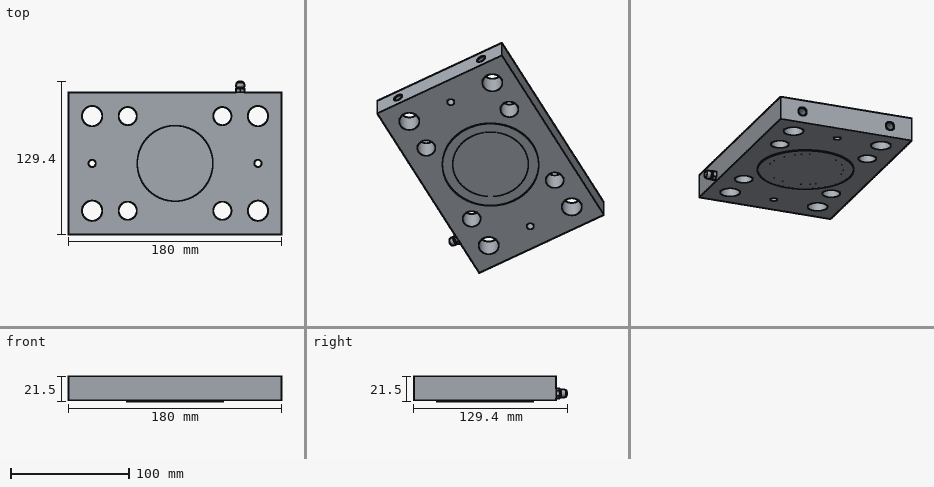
import cadquery as cq
import math

plate_length = 180.0
plate_width = 120.0
plate_thickness = 20.5

hole_row_y = 40.0
outer_hole_x = 70.0
outer_hole_diameter = 17.0
inner_hole_x = hole_row_y
inner_hole_diameter = 15.1
dowel_hole_diameter = 6.0

side_hole_diameter = 6.8
side_hole_chamfer = 0.5
side_hole_z = 10.0

cavity_diameter = 63.9
membrane_thickness = 0.5

overall_height = 21.5
cover_diameter = 81.4
cover_thickness = overall_height - plate_thickness

gland_x = 55.0
gland_z = 6.0
gland_length = 9.4
nut_across_flats = 7.4
nut_length = 3.0
nut_chamfer_angle = math.radians(30)
collar_diameter = 7.0
collar_end = 4.5
barrel_diameter = 7.2
shoulder_diameter = 5.8
shoulder_end = 8.3


def make_plate():
    """Rectangular plate with all its holes and the cavity."""
    plate = cq.Workplane("XY").box(plate_length, plate_width, plate_thickness, centered=(True, True, False))
    plate = cut_vertical_holes(plate, outer_hole_x, hole_row_y, outer_hole_diameter)
    plate = cut_vertical_holes(plate, inner_hole_x, hole_row_y, inner_hole_diameter)
    plate = cut_vertical_holes(plate, outer_hole_x, 0, dowel_hole_diameter)
    for y in (-hole_row_y, hole_row_y):
        plate = plate.cut(side_hole_cutter(y))
    cavity_depth = plate_thickness - membrane_thickness
    cavity = cq.Workplane("XY").circle(cavity_diameter / 2).extrude(cavity_depth)
    return plate.cut(cavity)


def cut_vertical_holes(plate, x, y, diameter):
    """Cut holes mirrored about both centre planes of the plate."""
    places = {(side_x * x, side_y * y) for side_x in (-1, 1) for side_y in (-1, 1)}
    cutter = cq.Workplane("XY").pushPoints(sorted(places)).circle(diameter / 2).extrude(plate_thickness)
    return plate.cut(cutter)


def side_hole_cutter(y):
    """Chamfered hole from the -X face to the axis of the outer vertical hole."""
    radius = side_hole_diameter / 2
    depth = plate_length / 2 - outer_hole_x
    profile = [
        (0, 0),
        (radius + side_hole_chamfer, 0),
        (radius, side_hole_chamfer),
        (radius, depth),
        (0, depth),
    ]
    cutter = cq.Workplane("XY").polyline(profile).close().revolve(360, (0, 0), (0, 1))
    cutter = cutter.rotate((0, 0, 0), (0, 0, 1), -90)
    return cutter.translate((-plate_length / 2, y, side_hole_z))


def make_cover():
    """Thin disc on the bottom face that closes the cavity."""
    return cq.Workplane("XY").circle(cover_diameter / 2).extrude(-cover_thickness)


def place_gland(body):
    """Move a gland body from the origin to the +Y face of the plate."""
    return body.translate((gland_x, plate_width / 2, gland_z))


def make_nut():
    """Hexagon with two flats facing +X and -X, its outer corners chamfered by a cone."""
    corner_radius = nut_across_flats / 2 / math.cos(math.pi / 6)
    chamfer_start = nut_across_flats / 2
    chamfer_drop = (corner_radius - chamfer_start) * math.tan(nut_chamfer_angle)
    hexagon = cq.Workplane("XZ").polygon(6, 2 * corner_radius).extrude(-nut_length)
    hexagon = hexagon.rotate((0, 0, 0), (0, 1, 0), 30)
    envelope = (
        cq.Workplane("XY")
        .moveTo(0, 0)
        .lineTo(corner_radius, 0)
        .lineTo(corner_radius, nut_length - chamfer_drop)
        .lineTo(chamfer_start, nut_length)
        .lineTo(0, nut_length)
        .close()
        .revolve(360, (0, 0), (0, 1))
    )
    return hexagon.intersect(envelope)


def make_gland_base():
    """Hexagonal nut with a round collar."""
    collar = cq.Workplane("XZ").circle(collar_diameter / 2).extrude(-collar_end)
    return place_gland(make_nut().union(collar))


def make_gland_cap():
    """Barrel-shaped cap on the collar, closed by a shallow rounded tip."""
    cap_middle = (collar_end + shoulder_end) / 2
    base_radius = collar_diameter / 2
    shoulder_radius = shoulder_diameter / 2
    tip_height = gland_length - shoulder_end
    tip_radius = (tip_height**2 + shoulder_radius**2) / (2 * tip_height)
    half_angle = math.asin(shoulder_radius / tip_radius) / 2
    tip_middle = (tip_radius * math.sin(half_angle), gland_length - tip_radius * (1 - math.cos(half_angle)))
    cap = (
        cq.Workplane("XY")
        .moveTo(0, collar_end)
        .lineTo(base_radius, collar_end)
        .threePointArc((barrel_diameter / 2, cap_middle), (shoulder_radius, shoulder_end))
        .threePointArc(tip_middle, (0, gland_length))
        .close()
        .revolve(360, (0, 0), (0, 1))
    )
    return place_gland(cap)


plate = make_plate()
cover = make_cover()
gland_base = make_gland_base()
gland_cap = make_gland_cap()

result = cq.Compound.makeCompound([plate.val(), cover.val(), gland_base.val(), gland_cap.val()])